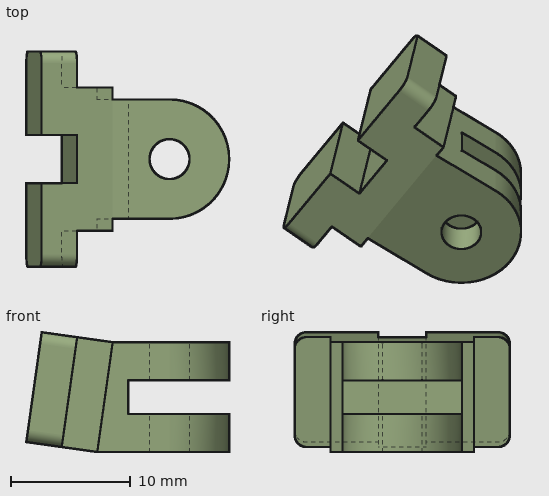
import cadquery as cq
import math

tongue_width = 10.0
tongue_height = 9.2
tongue_radius = tongue_width / 2
pin_hole_diameter = 3.32
slot_height = 2.8
slot_end_x = -3.45

tilt_degrees = 8.0
neck_width = 12.0
neck_thickness = 3.0
plate_width = 18.0
plate_thickness = 3.0
plate_corner_radius = 1.0
channel_width = 4.0
joint_top_x = -4.75

tilt = math.radians(tilt_degrees)
joint_bottom_x = joint_top_x - tongue_height * math.tan(tilt)
head_height = tongue_height / math.cos(tilt)

head_plane = cq.Plane(
    origin=(joint_bottom_x, 0, 0),
    xDir=(0, -1, 0),
    normal=(-math.cos(tilt), 0, math.sin(tilt)),
)


def head_block(width, thickness, offset):
    """Full-height block of the head, starting at a distance from the joint plane."""
    return (
        cq.Workplane(head_plane)
        .workplane(offset=offset)
        .center(0, head_height / 2)
        .rect(width, head_height)
        .extrude(thickness)
    )


def make_tongue():
    """Round-ended tongue with a sloping root, split by a slot and drilled for the pin."""
    side_profile = (
        cq.Workplane("XZ")
        .moveTo(joint_bottom_x, 0)
        .lineTo(tongue_radius, 0)
        .lineTo(tongue_radius, tongue_height)
        .lineTo(joint_top_x, tongue_height)
        .close()
        .extrude(tongue_radius, both=True)
    )
    plan_profile = (
        cq.Workplane("XY")
        .moveTo(joint_bottom_x, -tongue_radius)
        .lineTo(0, -tongue_radius)
        .threePointArc((tongue_radius, 0), (0, tongue_radius))
        .lineTo(joint_bottom_x, tongue_radius)
        .close()
        .extrude(tongue_height)
    )
    slot_length = tongue_radius - slot_end_x
    slot = cq.Workplane("XY").box(
        slot_length, tongue_width, slot_height, centered=(False, True, True)
    ).translate((slot_end_x, 0, tongue_height / 2))
    pin_hole = cq.Workplane("XY").circle(pin_hole_diameter / 2).extrude(tongue_height)
    return side_profile.intersect(plan_profile).cut(slot).cut(pin_hole)


def make_head():
    """Neck and wide plate with rounded corners and a channel down the plate's middle."""
    neck = head_block(neck_width, neck_thickness, 0)
    plate = head_block(plate_width, plate_thickness, neck_thickness)
    plate = plate.edges(cq.selectors.ParallelDirSelector(head_plane.zDir)).fillet(plate_corner_radius)
    channel = head_block(channel_width, plate_thickness, neck_thickness)
    return neck.union(plate).cut(channel)


result = make_tongue().union(make_head())